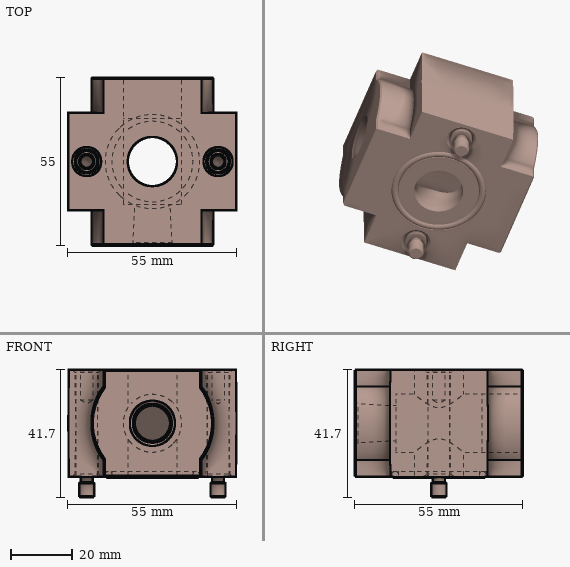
import cadquery as cq
import math

length = 55.0
height = 35.0
arm_width = 32.0
drum_diameter = 39.95
end_chamfer = 0.5
draft_angle = 0.5

passage_diameter = 16.0
port_diameter = 12.75
port_small_diameter = 11.5
port_chamfer_diameter = 14.8
chamber_diameter = 19.0
chamber_half_length = 14.0
stud_spacing = 42.9
stud_hole_diameter = 7.8
stud_hole_waist_diameter = 7.1
stud_hole_chamfer_diameter = 9.5
groove_outer_diameter = 30.8
groove_inner_diameter = 26.4

seal_projection = 0.4
stud_diameter = 7.0
thread_diameter = 5.0
thread_root_diameter = 4.0
neck_length = 1.7
stud_projection = 6.7
socket_diameter = 4.1
socket_depth = 9.9
drill_point_angle = 118.0

half_length = length / 2
half_height = height / 2
seal_section = (groove_outer_diameter - groove_inner_diameter) / 2
seal_centre_diameter = (groove_outer_diameter + groove_inner_diameter) / 2
groove_depth = seal_section - seal_projection
port_chamfer = (port_chamfer_diameter - port_diameter) / 2
port_mouth_y = half_length - port_chamfer
stud_positions = [-stud_spacing / 2, stud_spacing / 2]


def drafted_arm():
    """Arm along X whose upright faces all lean inward above and below the parting plane."""
    upper_half = (
        cq.Workplane("XY").rect(length, arm_width).extrude(half_height, taper=draft_angle)
    )
    return upper_half.union(upper_half.mirror("XY"))


def drum_arm():
    """Arm along Y: a rectangular bar merged with a drum cut flush at top and bottom."""
    bar = cq.Workplane("XY").box(arm_width, length, height)
    drum = cq.Workplane("XZ").circle(drum_diameter / 2).extrude(half_length, both=True)
    slab = cq.Workplane("XY").box(length, length, height)
    arm = bar.union(drum.intersect(slab))
    return arm.faces("<Y or >Y").edges().chamfer(end_chamfer)


def front_port():
    """Cutter for the chamfered, tapered port on the -Y side, ending in the chamber."""
    return (
        cq.Workplane("XY")
        .polyline(
            [
                (0, -chamber_half_length),
                (port_small_diameter / 2, -chamber_half_length),
                (port_diameter / 2, -port_mouth_y),
                (port_chamfer_diameter / 2, -half_length),
                (0, -half_length),
            ]
        )
        .close()
        .revolve(360, (0, 0), (0, 1))
    )


def chamber_bore():
    """Cutter for the chamber, open at the +Y end face."""
    return (
        cq.Workplane("XZ", origin=(0, half_length, 0))
        .circle(chamber_diameter / 2)
        .extrude(half_length + chamber_half_length)
    )


def stud_hole():
    """Cutter for a stud hole, narrowest at the parting plane and chamfered at both ends."""
    mouth_radius = stud_hole_chamfer_diameter / 2
    bore_radius = stud_hole_diameter / 2
    bore_end_z = half_height - (mouth_radius - bore_radius)
    return (
        cq.Workplane("XZ")
        .polyline(
            [
                (0, -half_height),
                (mouth_radius, -half_height),
                (bore_radius, -bore_end_z),
                (stud_hole_waist_diameter / 2, 0),
                (bore_radius, bore_end_z),
                (mouth_radius, half_height),
                (0, half_height),
            ]
        )
        .close()
        .revolve(360, (0, 0), (0, 1))
    )


def seal_groove():
    """Cutter for the ring groove in the underside."""
    return (
        cq.Workplane("XY", origin=(0, 0, -half_height))
        .circle(groove_outer_diameter / 2)
        .circle(groove_inner_diameter / 2)
        .extrude(groove_depth)
    )


def make_block():
    block = drafted_arm().union(drum_arm())
    passage = cq.Workplane("XY").circle(passage_diameter / 2).extrude(half_height, both=True)
    block = block.cut(passage).cut(seal_groove())
    block = block.cut(front_port()).cut(chamber_bore())
    for x in stud_positions:
        block = block.cut(stud_hole().translate((x, 0, 0)))
    return block


def make_seal_ring():
    """Round-section ring resting on the floor of its groove."""
    section_z = -half_height - seal_projection + seal_section / 2
    return (
        cq.Workplane("XZ")
        .center(seal_centre_diameter / 2, section_z)
        .circle(seal_section / 2)
        .revolve(360, (-seal_centre_diameter / 2, 0), (-seal_centre_diameter / 2, 1))
    )


def make_plug():
    """Round plug closing the chamber, flush with the +Y end face."""
    return (
        cq.Workplane("XZ", origin=(0, half_length, 0))
        .circle(chamber_diameter / 2)
        .extrude(half_length - chamber_half_length)
    )


def make_stud(x):
    """Sleeve with a socket in its top and a necked, threaded end below the block."""
    top_z = half_height
    bottom_z = -half_height
    tip_z = bottom_z - stud_projection
    root_radius = thread_root_diameter / 2
    thread_radius = thread_diameter / 2
    thread_chamfer = thread_radius - root_radius
    socket_radius = socket_diameter / 2
    socket_chamfer = thread_radius - socket_radius
    socket_floor_z = top_z - socket_depth
    drill_point_z = socket_floor_z - socket_radius / math.tan(math.radians(drill_point_angle / 2))
    return (
        cq.Workplane("XZ", origin=(x, 0, 0))
        .polyline(
            [
                (0, tip_z),
                (root_radius, tip_z),
                (thread_radius, tip_z + thread_chamfer),
                (thread_radius, bottom_z - neck_length - thread_chamfer),
                (root_radius, bottom_z - neck_length),
                (root_radius, bottom_z),
                (stud_diameter / 2, bottom_z),
                (stud_diameter / 2, top_z),
                (thread_radius, top_z),
                (socket_radius, top_z - socket_chamfer),
                (socket_radius, socket_floor_z),
                (0, drill_point_z),
            ]
        )
        .close()
        .revolve(360, (0, 0), (0, 1))
    )


block = make_block()
seal_ring = make_seal_ring()
plug = make_plug()
studs = [make_stud(x) for x in stud_positions]

result = cq.Compound.makeCompound(
    [block.val(), seal_ring.val(), plug.val(), *[stud.val() for stud in studs]]
)